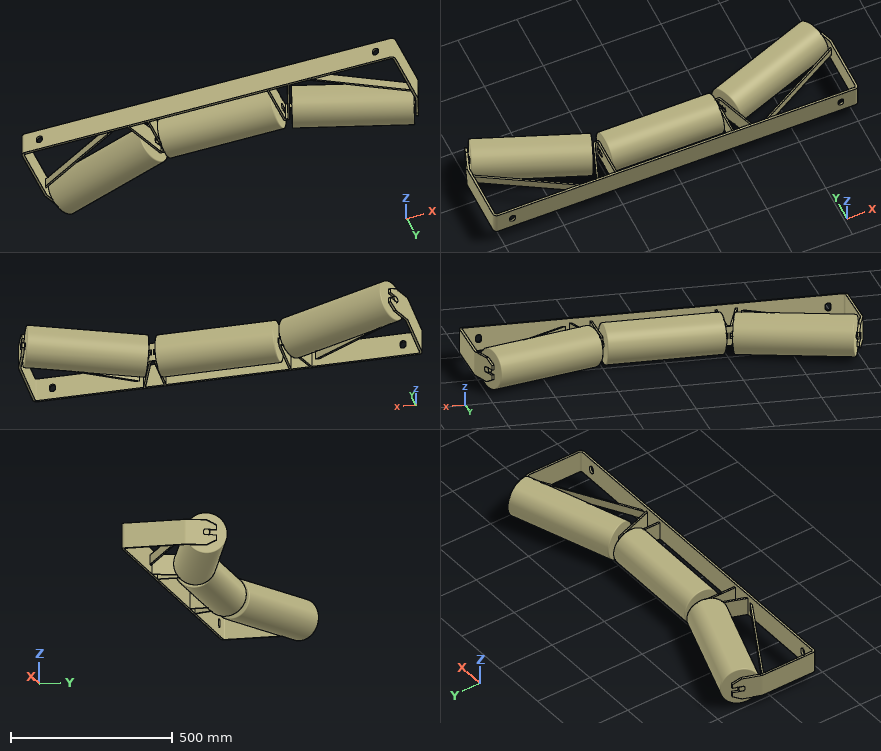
import cadquery as cq
import math

frame_length = 1240.0
half_length = frame_length / 2
strap_width = 79.0
strap_thickness = 8.0
strap_bend_radius = 14.0
sheet_thickness = 6.0

roller_diameter = 133.0
roller_length = 380.0
rim_radius = 4.0
axle_diameter = 21.0
axle_flats = 17.0
axle_shoulder = 2.0
trough_angle = 20.0
forward_tilt = 1.2
inner_gap = 6.0
outer_gap = 5.0
middle_roller_y = 125.0
outer_roller_x = 407.0
outer_roller_y = 200.0

end_plate_tip = 31.0
plate_corner_length = 31.0
plate_corner_width = 16.0

bracket_top_y = 154.0
bracket_width = 65.0
brace_width = 30.0
brace_angle = 30.0
brace_foot_x = 280.0

mount_slot_x = 558.0
mount_slot_width = 19.0
mount_slot_height = 26.0

trough = math.radians(trough_angle)
inner_axle_reach = roller_length / 2 + inner_gap + sheet_thickness
outer_axle_reach = roller_length / 2 + outer_gap + strap_thickness
middle_roller_z = (bracket_width - strap_width) / 2
outer_roller_z = middle_roller_z / 2


def along_roller(distance, height):
    """XY point at a distance outward along the left roller's axis and a height square to it."""
    x = -outer_roller_x - distance * math.cos(trough) + height * math.sin(trough)
    y = outer_roller_y + distance * math.sin(trough) + height * math.cos(trough)
    return x, y


def height_at_x(distance, x):
    """Height square to the left roller's axis at which a given X is reached."""
    return (x - along_roller(distance, 0)[0]) / math.sin(trough)


def height_at_y(distance, y):
    """Height square to the left roller's axis at which a given Y is reached."""
    return (y - along_roller(distance, 0)[1]) / math.cos(trough)


def place_left(shape):
    """Move a shape from the X axis to the left roller's axis."""
    tilted = shape.rotate((0, 0, 0), (0, 1, 0), forward_tilt)
    turned = tilted.rotate((0, 0, 0), (0, 0, 1), -trough_angle)
    return turned.translate((-outer_roller_x, outer_roller_y, outer_roller_z))


def place_middle(shape):
    """Move a shape from the X axis to the middle roller's axis."""
    return shape.translate((0, middle_roller_y, middle_roller_z))


def rod(diameter, start, end):
    """Round rod along the X axis."""
    return cq.Workplane("YZ").workplane(offset=start).circle(diameter / 2).extrude(end - start)


def flatted_end(start, end):
    """Axle stretch along the X axis with flats facing up and down in Z."""
    flats = cq.Workplane("XY").box(end - start, axle_diameter, axle_flats, centered=(False, True, True))
    return rod(axle_diameter, start, end).intersect(flats.translate((start, 0, 0)))


def roller(left_reach, right_reach):
    """Roller along the X axis with its axle, whose ends reach given distances from the middle."""
    drum_end = roller_length / 2
    shoulder_end = drum_end + axle_shoulder
    drum = rod(roller_diameter, -drum_end, drum_end).edges("%CIRCLE").fillet(rim_radius)
    shoulders = rod(axle_diameter, -shoulder_end, shoulder_end)
    ends = flatted_end(-left_reach, right_reach)
    return drum.union(shoulders).union(ends)


def axle_slot(start, end):
    """Cutter for a round-bottomed slot, open toward +Y, for an axle end along the X axis."""
    opening = cq.Workplane("XY").box(
        end - start, roller_diameter, axle_flats, centered=(False, False, True)
    )
    return flatted_end(start, end).union(opening.translate((start, 0, 0)))


def plate(points, width=strap_width):
    """XY outline extruded to a width along Z, centred on Z = 0."""
    return cq.Workplane("XY").polyline(points).close().extrude(width / 2, both=True)


def round_edge(body, point, radius):
    """Round the Z edge that stands at an XY point."""
    return body.edges("|Z").edges(cq.selectors.NearestToPointSelector((*point, 0))).fillet(radius)


def strap():
    """Half of the base, the post and the end plate leaning with the roller."""
    outer_face = outer_axle_reach
    inner_face = outer_face - strap_thickness
    post_inner_x = -half_length + strap_thickness
    outer_corner = (-half_length, 0)
    inner_corner = (post_inner_x, strap_thickness)
    outer_bend = along_roller(outer_face, height_at_x(outer_face, -half_length))
    inner_bend = along_roller(inner_face, height_at_x(inner_face, post_inner_x))
    outline = [
        (0, 0),
        outer_corner,
        outer_bend,
        along_roller(outer_face, end_plate_tip),
        along_roller(inner_face, end_plate_tip),
        inner_bend,
        inner_corner,
        (0, strap_thickness),
    ]
    body = plate(outline)
    inner_radius = strap_bend_radius - strap_thickness
    body = round_edge(body, outer_corner, strap_bend_radius)
    body = round_edge(body, inner_corner, inner_radius)
    body = round_edge(body, outer_bend, strap_bend_radius)
    return round_edge(body, inner_bend, inner_radius)


def end_plate_corners():
    """Cutters for the two sloped corners at the end plate's tip."""
    edge = strap_width / 2
    corner = [
        (end_plate_tip, edge),
        (end_plate_tip, edge - plate_corner_width),
        (end_plate_tip - plate_corner_length, edge),
    ]
    upper = (
        cq.Workplane("YZ").workplane(offset=-outer_axle_reach - outer_gap / 2)
        .polyline(corner).close().extrude(strap_thickness + outer_gap)
    )
    both = upper.union(upper.mirror("XY"))
    return both.rotate((0, 0, 0), (0, 0, 1), -trough_angle).translate((-outer_roller_x, outer_roller_y, 0))


def bracket():
    """Inverted U: one leg square to the left roller, one square to the middle roller."""
    near = -(roller_length / 2 + inner_gap)
    far = near - sheet_thickness
    under_top_y = bracket_top_y - sheet_thickness
    slanted_top = along_roller(near, height_at_y(near, bracket_top_y))
    upright_top = (near, bracket_top_y)
    outline = [
        along_roller(near, height_at_y(near, strap_thickness)),
        slanted_top,
        upright_top,
        (near, strap_thickness),
        (far, strap_thickness),
        (far, under_top_y),
        along_roller(far, height_at_y(far, under_top_y)),
        along_roller(far, height_at_y(far, strap_thickness)),
    ]
    body = plate(outline, bracket_width)
    body = round_edge(body, slanted_top, sheet_thickness)
    body = round_edge(body, upright_top, sheet_thickness)
    return body.translate((0, 0, middle_roller_z))


def brace():
    """Slanted strip from the base to the post."""
    angle = math.radians(brace_angle)
    post_x = half_length - strap_thickness
    upper_y = strap_thickness + (post_x - brace_foot_x) * math.tan(angle)
    foot_width = sheet_thickness / math.sin(angle)
    outline = [
        (-brace_foot_x, strap_thickness),
        (-post_x, upper_y),
        (-post_x, upper_y - sheet_thickness / math.cos(angle)),
        (-brace_foot_x - foot_width, strap_thickness),
    ]
    return plate(outline, brace_width)


def mount_slot():
    """Cutter for the mounting slot through the base."""
    return (
        cq.Workplane("XZ").center(-mount_slot_x, 0)
        .slot2D(mount_slot_height, mount_slot_width, 90).extrude(strap_thickness, both=True)
    )


def frame_half():
    """Left half of the frame, ending at X = 0."""
    drum_end = roller_length / 2
    body = strap().cut(end_plate_corners()).union(bracket()).union(brace()).cut(mount_slot())
    body = body.cut(place_left(axle_slot(-outer_axle_reach - outer_gap / 2, -drum_end)))
    body = body.cut(place_left(axle_slot(drum_end, inner_axle_reach)))
    return body.cut(place_middle(axle_slot(-inner_axle_reach, -drum_end)))


left_frame = frame_half()
frame = left_frame.union(left_frame.mirror("YZ"))
left_roller = place_left(roller(outer_axle_reach, inner_axle_reach))
right_roller = left_roller.mirror("YZ")
middle_roller = place_middle(roller(inner_axle_reach, inner_axle_reach))

result = cq.Compound.makeCompound([frame.val(), left_roller.val(), middle_roller.val(), right_roller.val()])